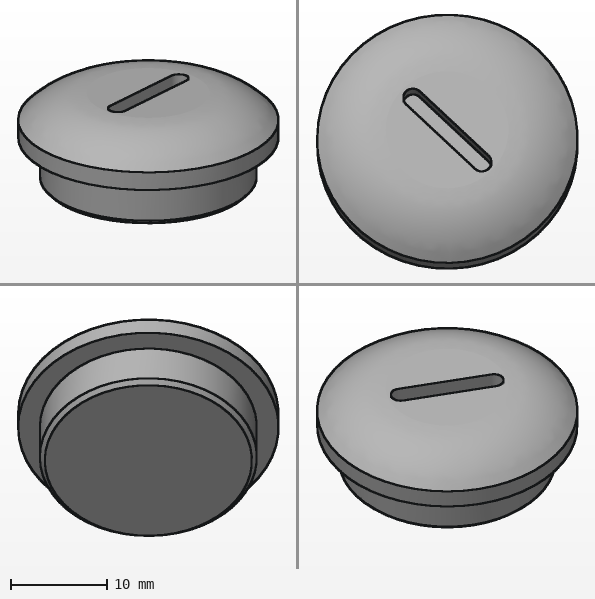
import cadquery as cq
import math

flange_diameter = 27.0
flange_thickness = 2.0
plug_diameter = 22.5
plug_length = 5.0
plug_chamfer = 0.5
dome_height = 3.0
dome_arc_radius = 10.0
slot_length = 12.0
slot_width = 2.0
slot_depth = 2.0

flange_radius = flange_diameter / 2
plug_radius = plug_diameter / 2
flange_top = plug_length + flange_thickness
total_height = flange_top + dome_height

arc_center_z = total_height - dome_arc_radius
arc_run = math.sqrt(dome_arc_radius**2 - (flange_top - arc_center_z) ** 2)
flat_radius = flange_radius - arc_run
arc_mid_angle = math.asin(arc_run / dome_arc_radius) / 2
arc_mid = (
    flat_radius + dome_arc_radius * math.sin(arc_mid_angle),
    arc_center_z + dome_arc_radius * math.cos(arc_mid_angle),
)


def make_body():
    """Revolve the plug, flange and domed head about Z."""
    return (
        cq.Workplane("XZ")
        .lineTo(plug_radius - plug_chamfer, 0)
        .lineTo(plug_radius, plug_chamfer)
        .lineTo(plug_radius, plug_length)
        .lineTo(flange_radius, plug_length)
        .lineTo(flange_radius, flange_top)
        .threePointArc(arc_mid, (flat_radius, total_height))
        .lineTo(0, total_height)
        .close()
        .revolve(360, (0, 0, 0), (0, 1, 0))
    )


def make_slot():
    """Round-ended screwdriver slot along Y, open at the flat top."""
    return (
        cq.Workplane("XY", origin=(0, 0, total_height))
        .slot2D(slot_length, slot_width, 90)
        .extrude(-slot_depth)
    )


result = make_body().cut(make_slot())